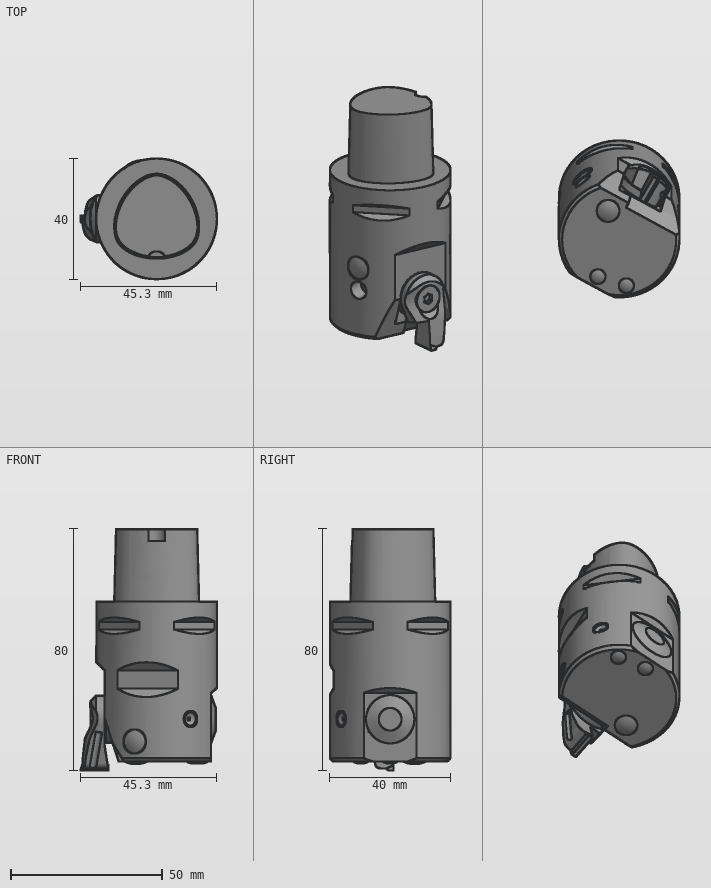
import cadquery as cq
import math


BODY_DIAMETER = 40.0
BODY_RADIUS = BODY_DIAMETER / 2
BODY_LENGTH = 53.0
BOTTOM_CHAMFER = 1.1
OVERSIZE = 2 * BODY_DIAMETER

SHANK_LENGTH = 24.0
SHANK_MEAN_RADIUS = 14.1
SHANK_LOBE = 0.9
SHANK_TAPER = 0.6
SHANK_SPANS = 6
SPAN_STEPS = 8
KEY_NOTCH_DIAMETER = 6.1
KEY_NOTCH_Y = -13.8
KEY_NOTCH_DEPTH = 4.0

GRIP_SLOT_Z = -8.0
GRIP_SLOT_HEIGHT = 2.4
GRIP_SLOT_DISTANCE = 17.6
GRIP_SLOT_FLARE = 1.5
GRIP_SLOT_AZIMUTHS = [45, 135, 225, 315]

SIDE_SLOT_Z = -25.8
SIDE_SLOT_HEIGHT = 5.9
SIDE_SLOT_DISTANCE = 17.2
SIDE_SLOT_FLARE = BODY_RADIUS - SIDE_SLOT_DISTANCE
SIDE_SLOT_AZIMUTH = 260

SEAT_DISTANCE = 17.2
SEAT_TOP_Z = -22.8
SEAT_FLARE = BODY_RADIUS - SEAT_DISTANCE
SLOPE_TOP_Z = -38.7
SLOPE_RATE = 0.325
RELIEF_TOP_Z = -47.3
RELIEF_RATE = 0.64
RELIEF_SIDE_Y = 3.4
POCKET_FLOOR_X = -14.0
PAD_FACE_X = -16.8

DIAL_FLAT_X = 18.0
DIAL_FLAT_TOP_Z = -30.2
DIAL_FLAT_FLARE = 1.6
DIAL_DIAMETER = 16.0
DIAL_FACE_DIAMETER = 7.5
DIAL_HEIGHT = 1.6

PLUG_DIAMETER = 8.0
PLUG_BULGE = 0.9
PLUGS = [(248, -46.3, 19.1), (112, -28.6, 19.4)]
SIDE_HOLE_DIAMETER = 6.0
SIDE_HOLE_DEPTH = 6.4
SIDE_HOLE_AZIMUTH = 113
SIDE_HOLE_Z = -36.2
NOZZLE_AZIMUTH = 304.6
NOZZLE_Z = -38.9
NOZZLE_RIM_DIAMETER = 5.3
NOZZLE_MOUTH_DIAMETER = 4.5
NOZZLE_BORE_DIAMETER = 1.0
NOZZLE_RIM_DEPTH = 0.4
NOZZLE_CONE_DEPTH = 0.8
NOZZLE_BORE_DEPTH = 3.2

BOTTOM_PLUGS = [(-6.9, 8.1, 7.5, 0.9), (12.5, -9.8, 5.0, 0.7), (14.4, 0.0, 5.0, 0.7)]

INSERT_Z = -39.0
HEAD_RADIUS = 7.8
HEAD_RIM_X = -20.0
FRONT_CROWN_RADIUS = 14.4
INSERT_FRONT = [
    (-30.4, -22.0),
    (-33.6, -22.0),
    (-36.8, -22.0),
    (-40.0, -22.0),
    (-42.9, -23.0),
    (-45.8, -23.8),
    (-48.8, -24.2),
    (-51.8, -24.5),
]
LEG_BOTTOM_Z = -55.3
LEG_BOTTOM_FRONT_X = -24.6
INSERT_REAR_X = -SEAT_DISTANCE
BLANK_MARGIN = 0.8
REAR_BEND_Z = -47.6
LEG_REAR_X = -16.0
LEG_SIDE_Y = 1.1
LEG_TAPER = 11.5
LEG_ROUND_TOP_Z = -53.3
LEG_CORNER_RADIUS = LEG_ROUND_TOP_Z - LEG_BOTTOM_Z
HEAD_TAPER = 22.4
HEAD_BOTTOM_FRONT_Z = -45.9
HEAD_BOTTOM_REAR_Z = -47.5
HEAD_BOTTOM_FRONT_X = -22.8
TIP_Z = -56.0
TIP_X = -25.3
TIP_TOP_Z = -54.2
TIP_WIDTH = 2.4
TIP_LAND = 1.6
GROOVE_RADIUS = 1.1
GROOVE_STAND_OFF = 0.3
GROOVE_TOP = (-19.1, -43.4)
GROOVE_BOTTOM = (-21.3, -56.0)

SCREW_HEAD_DIAMETER = 9.2
SCREW_SHANK_DIAMETER = 2.5
SCREW_FACE_X = -21.9
SCREW_SEAT_X = -19.5
SCREW_END_X = -8.0
COUNTERSINK_DEPTH = 3.2
HEX_CORNER_DIAMETER = 3.6
HEX_DEPTH = 1.6


def radial_plane(azimuth, distance, z):
    """Plane facing away from the tool axis; its local X runs around the body and its local Y runs up."""
    angle = math.radians(azimuth)
    outward = (math.cos(angle), math.sin(angle), 0)
    around = (-math.sin(angle), math.cos(angle), 0)
    origin = (distance * outward[0], distance * outward[1], z)
    return cq.Plane(origin=origin, xDir=around, normal=outward)


def cylinder_along_x(x_start, x_end, radius):
    """Cylinder on the insert axis."""
    plane = cq.Plane(origin=(x_start, 0, INSERT_Z), xDir=(0, 1, 0), normal=(1, 0, 0))
    return cq.Workplane(plane).circle(radius).extrude(x_end - x_start)


def dome(plane, diameter, bulge):
    """Spherical cap that stands on a plane."""
    radius = diameter / 2
    sphere_radius = (radius**2 + bulge**2) / (2 * bulge)
    middle = sphere_radius * math.sin(math.asin(radius / sphere_radius) / 2)
    middle_height = bulge - sphere_radius + math.sqrt(sphere_radius**2 - middle**2)
    section = (
        cq.Workplane("XZ")
        .moveTo(0, 0)
        .lineTo(radius, 0)
        .threePointArc((middle, middle_height), (0, bulge))
        .close()
    )
    cap = section.revolve(360, (0, 0, 0), (0, 1, 0))
    return cq.Workplane(cap.val().moved(cq.Location(plane)))


def shank_outline(mean_radius, z):
    """Three-lobed curve of constant width, from its distance-to-tangent formula, in equal spans."""
    def point(tangent_turn):
        angle = 2 * math.pi * tangent_turn
        lobe_angle = 3 * (angle - math.pi / 2)
        reach = mean_radius + SHANK_LOBE * math.cos(lobe_angle)
        slide = -3 * SHANK_LOBE * math.sin(lobe_angle)
        x = reach * math.cos(angle) - slide * math.sin(angle)
        y = reach * math.sin(angle) + slide * math.cos(angle)
        return cq.Vector(x, y, z)

    spans = []
    for span in range(SHANK_SPANS):
        turns = [(span + step / SPAN_STEPS) / SHANK_SPANS for step in range(SPAN_STEPS + 1)]
        spans.append(cq.Edge.makeSpline([point(turn) for turn in turns]))
    return cq.Wire.assembleEdges(spans)


def make_shank():
    base = shank_outline(SHANK_MEAN_RADIUS, 0)
    end = shank_outline(SHANK_MEAN_RADIUS - SHANK_TAPER, SHANK_LENGTH)
    shank = cq.Workplane(cq.Solid.makeLoft([base, end], True))
    notch = (
        cq.Workplane("XY", origin=(0, KEY_NOTCH_Y, SHANK_LENGTH))
        .circle(KEY_NOTCH_DIAMETER / 2)
        .extrude(-KEY_NOTCH_DEPTH)
    )
    return shank.cut(notch)


def flared_slot(azimuth, distance, z, height, flare):
    """Slot cutter with a flat floor and two flanks that open towards the body surface."""
    depth = BODY_RADIUS - distance
    half = height / 2
    angle = math.radians(azimuth)
    outward = (math.cos(angle), math.sin(angle), 0)
    around = (math.sin(angle), -math.cos(angle), 0)
    plane = cq.Plane(origin=(0, 0, z), xDir=outward, normal=around)
    return (
        cq.Workplane(plane)
        .polyline([
            (distance, -half),
            (distance + 2 * depth, -half - 2 * flare),
            (distance + 2 * depth, half + 2 * flare),
            (distance, half),
        ])
        .close()
        .extrude(BODY_RADIUS, both=True)
    )


def seat_cutter():
    """Seat flat with a 45 degree shoulder above it and an inward slope below it."""
    slope_run = SLOPE_RATE * (SLOPE_TOP_Z + BODY_LENGTH + BODY_RADIUS)
    return (
        cq.Workplane("XZ")
        .polyline([
            (-SEAT_DISTANCE - 2 * SEAT_FLARE, SEAT_TOP_Z + 2 * SEAT_FLARE),
            (-SEAT_DISTANCE, SEAT_TOP_Z),
            (-SEAT_DISTANCE, SLOPE_TOP_Z),
            (-SEAT_DISTANCE + slope_run, -BODY_LENGTH - BODY_RADIUS),
            (-SEAT_DISTANCE - 2 * SEAT_FLARE, -BODY_LENGTH - BODY_RADIUS),
        ])
        .close()
        .extrude(BODY_RADIUS, both=True)
    )


def relief_cutter():
    """Steeper slope below the seat, ending at a wall beside the leg of the insert."""
    top_x = -SEAT_DISTANCE + SLOPE_RATE * (SLOPE_TOP_Z - RELIEF_TOP_Z)
    drop = BODY_LENGTH + RELIEF_TOP_Z
    return (
        cq.Workplane("XZ", origin=(0, RELIEF_SIDE_Y, 0))
        .polyline([
            (top_x, RELIEF_TOP_Z),
            (top_x + RELIEF_RATE * drop, -BODY_LENGTH),
            (-BODY_RADIUS, -BODY_LENGTH),
            (-BODY_RADIUS, RELIEF_TOP_Z),
        ])
        .close()
        .extrude(OVERSIZE)
    )


def pocket_cutter():
    """Pocket with a round top, open downwards."""
    depth = BODY_RADIUS + POCKET_FLOOR_X
    round_top = cylinder_along_x(POCKET_FLOOR_X, -BODY_RADIUS, HEAD_RADIUS)
    straight = (
        cq.Workplane("XY")
        .box(depth, 2 * HEAD_RADIUS, BODY_LENGTH + INSERT_Z, centered=(False, True, False))
        .translate((-BODY_RADIUS, 0, -BODY_LENGTH))
    )
    return round_top.union(straight)


def dial_flat_cutter():
    slope_run = BODY_RADIUS - DIAL_FLAT_X
    return (
        cq.Workplane("XZ")
        .polyline([
            (DIAL_FLAT_X, -BODY_LENGTH),
            (DIAL_FLAT_X, DIAL_FLAT_TOP_Z),
            (DIAL_FLAT_X + 2 * slope_run, DIAL_FLAT_TOP_Z + 2 * DIAL_FLAT_FLARE),
            (DIAL_FLAT_X + 2 * slope_run, -BODY_LENGTH),
        ])
        .close()
        .extrude(BODY_RADIUS, both=True)
    )


def make_dial():
    plane = radial_plane(0, DIAL_FLAT_X, INSERT_Z)
    return (
        cq.Workplane(plane)
        .circle(DIAL_DIAMETER / 2)
        .workplane(offset=DIAL_HEIGHT)
        .circle(DIAL_FACE_DIAMETER / 2)
        .loft()
    )


def nozzle_cutter():
    """Stepped mouth, conical floor and a fine bore in its centre."""
    rim_plane = radial_plane(NOZZLE_AZIMUTH, BODY_RADIUS - NOZZLE_RIM_DEPTH, NOZZLE_Z)
    rim = cq.Workplane(rim_plane).circle(NOZZLE_RIM_DIAMETER / 2).extrude(BODY_RADIUS)
    cone = (
        cq.Workplane(rim_plane)
        .circle(NOZZLE_MOUTH_DIAMETER / 2)
        .workplane(offset=-NOZZLE_CONE_DEPTH)
        .circle(NOZZLE_BORE_DIAMETER / 2)
        .loft()
    )
    bore = cq.Workplane(rim_plane).circle(NOZZLE_BORE_DIAMETER / 2).extrude(-NOZZLE_BORE_DEPTH)
    return rim.union(cone).union(bore)


def make_housing():
    body = (
        cq.Workplane("XY")
        .circle(BODY_RADIUS)
        .extrude(-BODY_LENGTH)
        .faces("<Z")
        .chamfer(BOTTOM_CHAMFER)
    )
    for azimuth in GRIP_SLOT_AZIMUTHS:
        body = body.cut(
            flared_slot(azimuth, GRIP_SLOT_DISTANCE, GRIP_SLOT_Z, GRIP_SLOT_HEIGHT, GRIP_SLOT_FLARE)
        )
    body = body.cut(
        flared_slot(SIDE_SLOT_AZIMUTH, SIDE_SLOT_DISTANCE, SIDE_SLOT_Z, SIDE_SLOT_HEIGHT, SIDE_SLOT_FLARE)
    )
    pad = cylinder_along_x(POCKET_FLOOR_X, PAD_FACE_X, HEAD_RADIUS)
    body = body.cut(seat_cutter()).cut(relief_cutter()).cut(pocket_cutter()).union(pad)
    body = body.cut(cylinder_along_x(PAD_FACE_X, SCREW_END_X, SCREW_SHANK_DIAMETER / 2))
    body = body.cut(dial_flat_cutter()).union(make_dial())

    for azimuth, z, rim_distance in PLUGS:
        plane = radial_plane(azimuth, rim_distance, z)
        body = body.cut(cq.Workplane(plane).circle(PLUG_DIAMETER / 2).extrude(BODY_RADIUS))
        body = body.union(dome(plane, PLUG_DIAMETER, PLUG_BULGE))
    hole_plane = radial_plane(SIDE_HOLE_AZIMUTH, BODY_RADIUS, SIDE_HOLE_Z)
    body = body.cut(
        cq.Workplane(hole_plane).circle(SIDE_HOLE_DIAMETER / 2).extrude(SIDE_HOLE_DEPTH, both=True)
    )
    body = body.cut(nozzle_cutter())

    for x, y, diameter, bulge in BOTTOM_PLUGS:
        plane = cq.Plane(origin=(x, y, -BODY_LENGTH), xDir=(1, 0, 0), normal=(0, 0, -1))
        body = body.union(dome(plane, diameter, bulge))
    return body.union(make_shank())


def crowned_blank():
    """Bar with a crowned front that follows the front ridge and a rear that leans in at the leg."""
    half_width = HEAD_RADIUS + BLANK_MARGIN
    sag = FRONT_CROWN_RADIUS - math.sqrt(FRONT_CROWN_RADIUS**2 - half_width**2)

    def section(z, front_x):
        outline = (
            cq.Workplane("XY", origin=(0, 0, z))
            .moveTo(LEG_REAR_X, -half_width)
            .lineTo(LEG_REAR_X, half_width)
            .lineTo(front_x + sag, half_width)
            .threePointArc((front_x, 0), (front_x + sag, -half_width))
            .close()
        )
        return outline.val()

    upper = cq.Solid.makeLoft([section(z, front_x) for z, front_x in INSERT_FRONT])
    lower_sections = [section(*INSERT_FRONT[-1]), section(LEG_BOTTOM_Z, LEG_BOTTOM_FRONT_X)]
    bar = cq.Workplane(upper).union(cq.Workplane(cq.Solid.makeLoft(lower_sections, True)))
    rear = (
        cq.Workplane("XZ")
        .polyline([
            (INSERT_REAR_X, 0),
            (INSERT_REAR_X, REAR_BEND_Z),
            (LEG_REAR_X, LEG_BOTTOM_Z),
            (0, LEG_BOTTOM_Z),
            (0, 0),
        ])
        .close()
        .extrude(BODY_RADIUS, both=True)
    )
    return bar.cut(rear)


def insert_outline():
    """Round head that runs into a tapered leg, as a prism along X."""
    leg_angle = math.radians(LEG_TAPER)
    head_angle = math.radians(HEAD_TAPER)
    middle_angle = (math.pi + head_angle - leg_angle) / 2 - head_angle

    def rim(angle):
        return (HEAD_RADIUS * math.cos(angle), INSERT_Z + HEAD_RADIUS * math.sin(angle))

    head_start = rim(-head_angle)
    leg_start = rim(math.pi + leg_angle)
    head_corner_y = head_start[0] - (head_start[1] - HEAD_BOTTOM_REAR_Z) * math.tan(head_angle)
    leg_corner_y = leg_start[0] + (leg_start[1] - LEG_ROUND_TOP_Z) * math.tan(leg_angle)
    outline = (
        cq.Workplane("YZ")
        .moveTo(*leg_start)
        .threePointArc(rim(middle_angle), head_start)
        .lineTo(head_corner_y, HEAD_BOTTOM_REAR_Z)
        .lineTo(LEG_SIDE_Y, HEAD_BOTTOM_REAR_Z)
        .lineTo(LEG_SIDE_Y, LEG_BOTTOM_Z)
        .lineTo(leg_corner_y + LEG_CORNER_RADIUS, LEG_BOTTOM_Z)
        .tangentArcPoint((leg_corner_y, LEG_ROUND_TOP_Z), relative=False)
        .close()
    )
    return outline.extrude(-OVERSIZE)


def head_underside_cutter():
    """Slope on the underside of the head, beside the leg."""
    rear_x = INSERT_REAR_X
    front_x = HEAD_BOTTOM_FRONT_X
    return (
        cq.Workplane("XZ", origin=(0, LEG_SIDE_Y, 0))
        .polyline([
            (rear_x, HEAD_BOTTOM_REAR_Z),
            (front_x, HEAD_BOTTOM_FRONT_Z),
            (2 * front_x, HEAD_BOTTOM_FRONT_Z),
            (2 * front_x, HEAD_BOTTOM_REAR_Z),
        ])
        .close()
        .extrude(-HEAD_RADIUS)
    )


def head_cone_cutter():
    """45 degree bevel around the upper half of the head."""
    ring = (
        cq.Workplane("XY")
        .polyline([
            (HEAD_RIM_X, HEAD_RADIUS),
            (HEAD_RIM_X - HEAD_RADIUS, HEAD_RADIUS),
            (HEAD_RIM_X - HEAD_RADIUS, 0),
        ])
        .close()
        .revolve(180, (0, 0, 0), (1, 0, 0))
    )
    return ring.translate((0, 0, INSERT_Z))


def make_tip():
    """Cutting tip at the lower end of the leg."""
    front_x = LEG_BOTTOM_FRONT_X
    side = (
        cq.Workplane("XZ", origin=(0, LEG_SIDE_Y, 0))
        .polyline([(front_x, TIP_TOP_Z), (LEG_REAR_X, TIP_TOP_Z), (LEG_REAR_X, TIP_Z), (TIP_X, TIP_Z)])
        .close()
        .extrude(TIP_WIDTH)
    )
    face = (
        cq.Workplane("YZ")
        .polyline([
            (LEG_SIDE_Y, TIP_TOP_Z),
            (LEG_SIDE_Y, TIP_Z),
            (LEG_SIDE_Y - TIP_LAND, TIP_Z),
            (LEG_SIDE_Y - TIP_WIDTH, LEG_BOTTOM_Z),
        ])
        .close()
        .extrude(-OVERSIZE)
    )
    return side.intersect(face)


def groove_cutter():
    """Round-bottomed chip groove that runs down the tapered side of the leg."""
    slope = math.tan(math.radians(LEG_TAPER))
    edge_y = -HEAD_RADIUS / math.cos(math.radians(LEG_TAPER)) - GROOVE_STAND_OFF

    def on_side(x, z):
        return cq.Vector(x, edge_y + (INSERT_Z - z) * slope, z)

    top = on_side(*GROOVE_TOP)
    run = on_side(*GROOVE_BOTTOM) - top
    groove = cq.Solid.makeCylinder(GROOVE_RADIUS, run.Length, top, run)
    return cq.Workplane(groove)


def screw_seat_cutter():
    """Screw hole, head recess and the countersink in front of the head."""
    hole = cylinder_along_x(SCREW_FACE_X, SCREW_END_X, SCREW_SHANK_DIAMETER / 2)
    recess = cylinder_along_x(SCREW_FACE_X, SCREW_SEAT_X, SCREW_HEAD_DIAMETER / 2)
    plane = radial_plane(180, -SCREW_FACE_X, INSERT_Z)
    countersink = (
        cq.Workplane(plane)
        .circle(SCREW_HEAD_DIAMETER / 2)
        .workplane(offset=COUNTERSINK_DEPTH)
        .circle(SCREW_HEAD_DIAMETER / 2 + COUNTERSINK_DEPTH)
        .loft()
    )
    return hole.union(recess).union(countersink)


def make_insert():
    blank = crowned_blank().intersect(insert_outline())
    blank = blank.cut(head_cone_cutter()).cut(head_underside_cutter())
    return blank.union(make_tip()).cut(groove_cutter()).cut(screw_seat_cutter())


def make_screw():
    head = cylinder_along_x(SCREW_FACE_X, SCREW_SEAT_X, SCREW_HEAD_DIAMETER / 2)
    shank = cylinder_along_x(SCREW_SEAT_X, SCREW_END_X, SCREW_SHANK_DIAMETER / 2)
    plane = cq.Plane(origin=(SCREW_FACE_X, 0, INSERT_Z), xDir=(0, 0, 1), normal=(1, 0, 0))
    socket = cq.Workplane(plane).polygon(6, HEX_CORNER_DIAMETER).extrude(HEX_DEPTH)
    return head.union(shank).cut(socket)


housing = make_housing()
insert = make_insert()
screw = make_screw()
result = cq.Compound.makeCompound([*housing.solids().vals(), *insert.solids().vals(), *screw.solids().vals()])